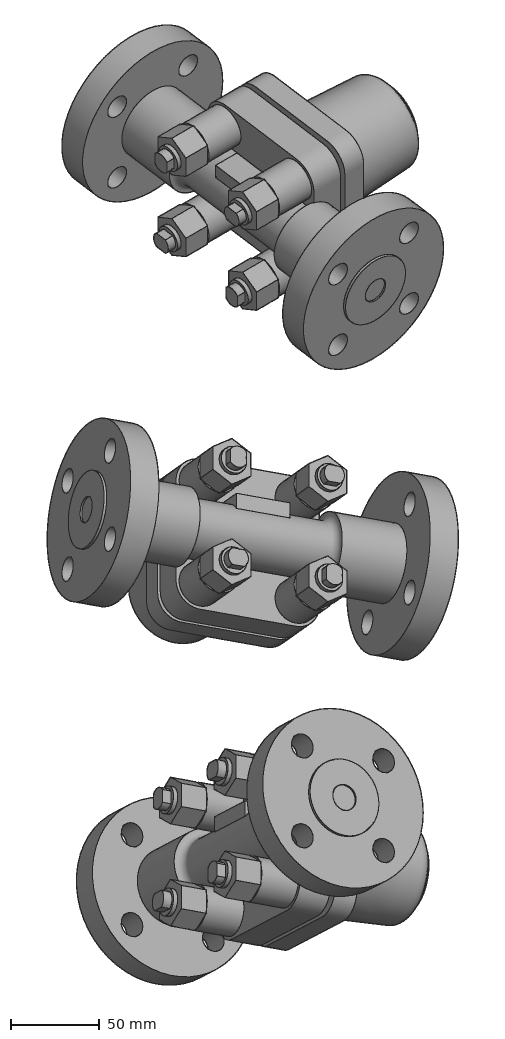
import cadquery as cq
import math

joint_overlap = 0.2

overall_length = 210.0
flange_radius = 52.5
flange_thickness = 17.8
raised_face_radius = 22.5
raised_face_height = 1.7
bore_radius = 7.5
bore_recess_depth = 1.0
flange_hole_diameter = 14.0
flange_hole_circle_radius = 37.5
pipe_radius = 23.0
pipe_inner_end = 44.7
neck_radius = 17.2
neck_fillet = 4.5

plate_size = 90.3
plate_corner_radius = 15.0
body_plate_start = 6.3
body_plate_end = 26.2
bonnet_plate_start = 29.5
bonnet_plate_end = 43.5
diaphragm_radius = 33.0

bonnet_flare_radius = 35.3
bonnet_flare_sag = 0.6
bonnet_cone_start = 48.3
bonnet_base_radius = 32.3
bonnet_cone_end = 95.5
bonnet_end_radius = 29.8
bonnet_shoulder_radius = 24.4
bonnet_shoulder = 101.6
bonnet_cap_radius = 22.5
bonnet_top = 104.0

stud_offset = plate_size / 2 - plate_corner_radius
boss_radius = 13.0
boss_end = -17.6
nut_across_flats = 24.0
nut_end = -34.0
collar_radius = 8.0
collar_end = -36.8
tip_radius = 6.3
tip_across_flats = 10.0
tip_end = -42.2

pad_length = 33.5
pad_top = 20.4
pad_front = -13.0
pad_back = 3.0


def cylinder_x(radius, start, end):
    """Cylinder along X between two X positions."""
    return cq.Workplane("YZ").workplane(offset=start).circle(radius).extrude(end - start)


def plane_y(position):
    """XZ sketch plane at a Y position, with local axes X and Z; it extrudes towards -Y."""
    return cq.Workplane("XZ", origin=(0, position, 0))


def square_plate(start, end):
    plate = plane_y(end).rect(plate_size, plate_size).extrude(end - start)
    return plate.edges("|Y").fillet(plate_corner_radius)


def make_pipe_end():
    """Pipe stub with its drilled flange, raised face and blanked bore, on the -X side."""
    face = -overall_length / 2
    flange_outer = face + raised_face_height
    flange_inner = flange_outer + flange_thickness
    hole_pitch = flange_hole_circle_radius * math.sqrt(2)
    flange = cylinder_x(flange_radius, flange_outer, flange_inner)
    flange = flange.faces("<X").workplane().rect(hole_pitch, hole_pitch, forConstruction=True)
    flange = flange.vertices().hole(flange_hole_diameter)
    stub = cylinder_x(pipe_radius, flange_inner - joint_overlap, -pipe_inner_end)
    raised_face = cylinder_x(raised_face_radius, face, flange_outer + joint_overlap)
    recess = cylinder_x(bore_radius, face, face + bore_recess_depth)
    return flange.union(stub).union(raised_face).cut(recess)


def make_neck():
    """Middle of the pipe, flaring out with a concave round against each stub."""
    flare_start = pipe_inner_end - neck_fillet
    flare_radius = neck_radius + neck_fillet
    arc_inset = neck_fillet * math.sqrt(0.5)
    arc_x = flare_start + arc_inset
    arc_radius = flare_radius - arc_inset
    outline = (
        cq.Workplane("XY")
        .moveTo(-pipe_inner_end, 0)
        .lineTo(-pipe_inner_end, flare_radius)
        .threePointArc((-arc_x, arc_radius), (-flare_start, neck_radius))
        .lineTo(flare_start, neck_radius)
        .threePointArc((arc_x, arc_radius), (pipe_inner_end, flare_radius))
        .lineTo(pipe_inner_end, 0)
        .close()
    )
    return outline.revolve(360, (0, 0, 0), (1, 0, 0))


def make_bonnet():
    """Tapered bonnet with a flared foot, a rounded shoulder and a shallow bevelled cap."""
    flare_middle = (
        (bonnet_flare_radius + bonnet_base_radius) / 2 - bonnet_flare_sag,
        (bonnet_plate_end + bonnet_cone_start) / 2,
    )
    outline = (
        cq.Workplane("XY")
        .moveTo(0, bonnet_plate_end - joint_overlap)
        .lineTo(bonnet_flare_radius, bonnet_plate_end - joint_overlap)
        .lineTo(bonnet_flare_radius, bonnet_plate_end)
        .threePointArc(flare_middle, (bonnet_base_radius, bonnet_cone_start))
        .lineTo(bonnet_end_radius, bonnet_cone_end)
        .tangentArcPoint((bonnet_shoulder_radius, bonnet_shoulder), relative=False)
        .lineTo(bonnet_cap_radius, bonnet_top)
        .lineTo(0, bonnet_top)
        .close()
    )
    return outline.revolve(360, (0, 0, 0), (0, 1, 0))


def make_stud(x, z):
    """Boss, nut, collar and tip; the tip flats face X or Z, alternating around the plate."""
    centre = (x, z)
    nut_corner_diameter = nut_across_flats / math.cos(math.pi / 6)
    boss = plane_y(body_plate_start + joint_overlap).center(*centre).circle(boss_radius)
    boss = boss.extrude(body_plate_start + joint_overlap - boss_end)
    nut = plane_y(boss_end).polygon(6, nut_corner_diameter).extrude(boss_end - nut_end)
    nut = nut.rotate((0, 0, 0), (0, 1, 0), 90).translate((x, 0, z))
    collar = plane_y(nut_end).center(*centre).circle(collar_radius).extrude(nut_end - collar_end)

    tip_length = collar_end - tip_end
    flats_face_x = x * z < 0
    width = tip_across_flats if flats_face_x else 2 * tip_radius
    height = 2 * tip_radius if flats_face_x else tip_across_flats
    tip = plane_y(collar_end).center(*centre).circle(tip_radius).extrude(tip_length)
    flats = plane_y(collar_end).center(*centre).rect(width, height).extrude(tip_length)
    return boss.union(nut).union(collar).union(tip.intersect(flats))


def make_name_pad():
    pad = plane_y(pad_back).center(0, pad_top / 2).rect(pad_length, pad_top)
    return pad.extrude(pad_back - pad_front)


pipe_end = make_pipe_end()
diaphragm = plane_y(bonnet_plate_start).circle(diaphragm_radius)
diaphragm = diaphragm.extrude(bonnet_plate_start - body_plate_end)

result = make_neck().union(pipe_end).union(pipe_end.mirror("YZ"))
result = result.union(square_plate(body_plate_start, body_plate_end))
result = result.union(diaphragm)
result = result.union(square_plate(bonnet_plate_start, bonnet_plate_end))
result = result.union(make_bonnet()).union(make_name_pad())
for stud_x in (-stud_offset, stud_offset):
    for stud_z in (-stud_offset, stud_offset):
        result = result.union(make_stud(stud_x, stud_z))